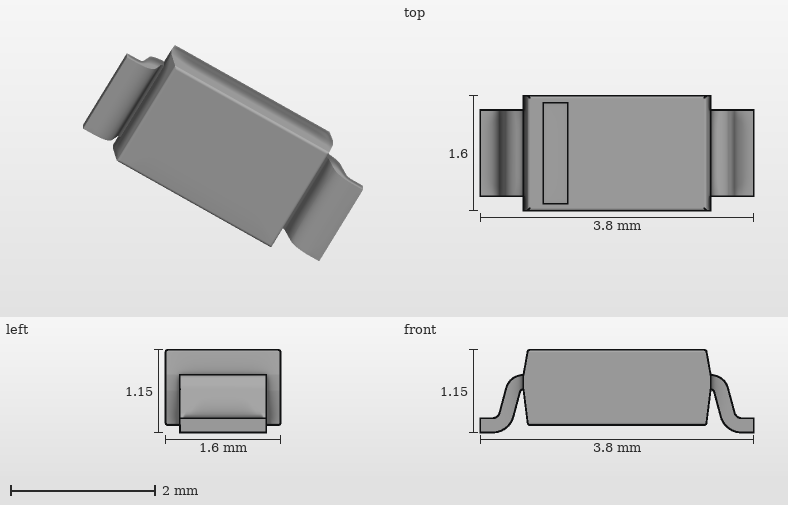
import cadquery as cq
import math

total_length = 3.8
total_height = 1.15

body_length = 2.6
body_width = 1.6
body_bottom = 0.103
end_inset = 0.06
band_bottom = 0.585
band_top = 0.81
edge_radius = 0.038

lead_width = 1.2
lead_thickness = 0.2
lead_top = 0.8
lead_bend_angle = math.radians(75)
lower_inner_radius = 0.1
upper_inner_radius = 0.05
lead_embed = 0.075

mark_length = 0.345
mark_width = 1.4
mark_center_x = -0.855
mark_depth = 0.01


def make_body():
    """Block whose ends taper inward above and below an upright band."""
    half = body_length / 2
    inner = half - end_inset
    outline = [
        (-inner, body_bottom),
        (inner, body_bottom),
        (half, band_bottom),
        (half, band_top),
        (inner, total_height),
        (-inner, total_height),
        (-half, band_top),
        (-half, band_bottom),
    ]
    block = cq.Workplane("XZ").polyline(outline).close().extrude(body_width / 2, both=True)
    return block.faces(">Z or <Z").edges().fillet(edge_radius)


def make_left_lead():
    """Rectangular strip swept along a centreline with two opposite bends."""
    lower_radius = lower_inner_radius + lead_thickness / 2
    upper_radius = upper_inner_radius + lead_thickness / 2
    sine = math.sin(lead_bend_angle)
    cosine = math.cos(lead_bend_angle)
    foot_z = lead_thickness / 2
    shoulder_z = lead_top - lead_thickness / 2

    shoulder_x = -body_length / 2
    upper_bend = (shoulder_x - upper_radius * sine, shoulder_z - upper_radius * (1 - cosine))
    lower_bend_z = foot_z + lower_radius * (1 - cosine)
    lower_bend_x = upper_bend[0] - (upper_bend[1] - lower_bend_z) / math.tan(lead_bend_angle)
    foot_end_x = lower_bend_x - lower_radius * sine

    path = (
        cq.Workplane("XZ")
        .moveTo(-total_length / 2, foot_z)
        .lineTo(foot_end_x, foot_z)
        .tangentArcPoint((lower_bend_x, lower_bend_z), relative=False)
        .lineTo(*upper_bend)
        .tangentArcPoint((shoulder_x, shoulder_z), relative=False)
        .lineTo(shoulder_x + lead_embed, shoulder_z)
    )
    section = cq.Workplane("YZ", origin=(-total_length / 2, 0, foot_z)).rect(lead_width, lead_thickness)
    return section.sweep(path)


def make_mark_recess():
    """Shallow rectangular cutter for the polarity mark."""
    recess = cq.Workplane("XY").box(mark_length, mark_width, mark_depth, centered=(True, True, False))
    return recess.translate((mark_center_x, 0, total_height - mark_depth))


left_lead = make_left_lead()
right_lead = left_lead.mirror("YZ")
result = make_body().cut(make_mark_recess()).union(left_lead).union(right_lead)